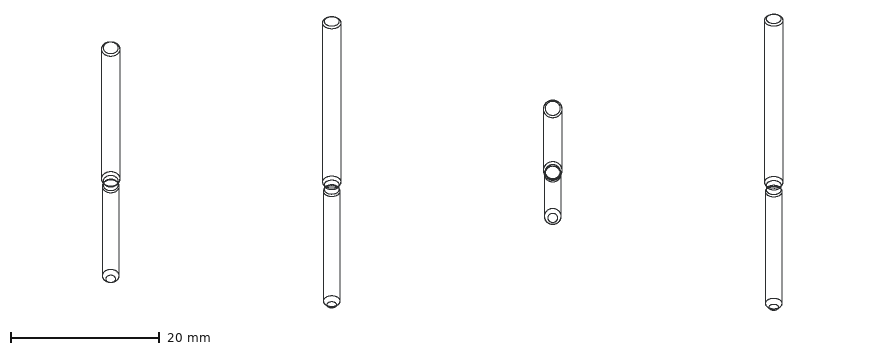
import cadquery as cq

total_length = 50.0
barrel_radius = 1.25
barrel_end_radius = 1.0
barrel_bottom = 21.15
barrel_top_chamfer_height = 0.25
barrel_bottom_chamfer_height = 0.5

plunger_diameter = 2.25
plunger_radius = plunger_diameter / 2
neck_radius = barrel_end_radius
neck_bottom = 20.35
shoulder_height = 0.3
tip_radius = 0.65
tip_height = 0.65


def turned_body(outer_profile):
    """Revolve a bottom-to-top list of (radius, height) points around the Z axis."""
    bottom = outer_profile[0][1]
    top = outer_profile[-1][1]
    outline = [(0, bottom), *outer_profile, (0, top)]
    return cq.Workplane("XZ").polyline(outline).close().revolve(360, (0, 0), (0, 1))


def make_barrel():
    """Cylinder with a chamfer at each end."""
    return turned_body([
        (barrel_end_radius, barrel_bottom),
        (barrel_radius, barrel_bottom + barrel_bottom_chamfer_height),
        (barrel_radius, total_length - barrel_top_chamfer_height),
        (barrel_end_radius, total_length),
    ])


def make_plunger():
    """Rod with a conical tip below and a sloped shoulder up to its narrow neck."""
    return turned_body([
        (tip_radius, 0),
        (plunger_radius, tip_height),
        (plunger_radius, neck_bottom - shoulder_height),
        (neck_radius, neck_bottom),
        (neck_radius, barrel_bottom),
    ])


barrel = make_barrel()
plunger = make_plunger()

result = cq.Compound.makeCompound([barrel.val(), plunger.val()])